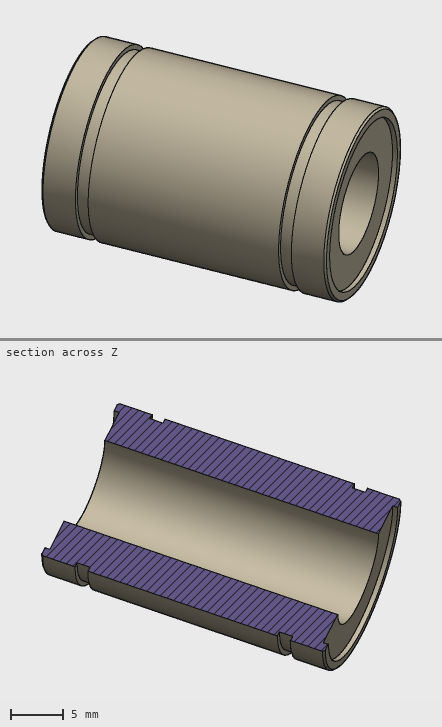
import cadquery as cq

length = 29.0
outer_diameter = 19.0
bore_diameter = 10.0

groove_diameter = 18.0
groove_width = 1.3
groove_outer_span = 22.0

edge_chamfer = 0.2
seal_diameter = 17.0
seal_recess = 0.5


def cylinder(diameter, x_start, x_length):
    """Solid cylinder along X, starting at x_start."""
    return cq.Workplane("YZ", origin=(x_start, 0, 0)).circle(diameter / 2).extrude(x_length)


def groove(x_start):
    """Ring of material removed from the outside of the sleeve."""
    blank = cylinder(outer_diameter, x_start, groove_width)
    return blank.cut(cylinder(groove_diameter, x_start, groove_width))


result = cylinder(outer_diameter, -length / 2, length).faces("<X or >X").edges().chamfer(edge_chamfer)

for groove_start in (-groove_outer_span / 2, groove_outer_span / 2 - groove_width):
    result = result.cut(groove(groove_start))

for recess_start in (-length / 2, length / 2 - seal_recess):
    result = result.cut(cylinder(seal_diameter, recess_start, seal_recess))

result = result.cut(cylinder(bore_diameter, -length / 2, length))